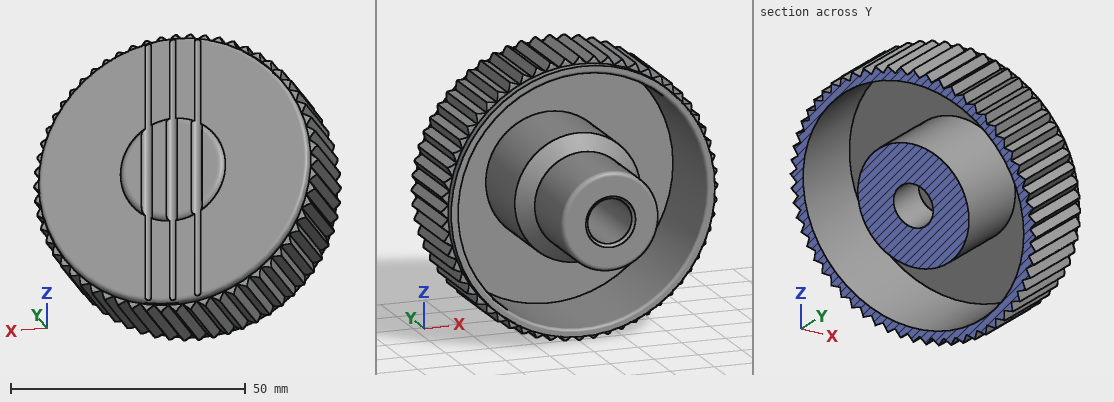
import cadquery as cq
import math


overall_length = 40.99
cap_height = 1.0
body_length = 23.0
teeth_length = 19.0
teeth_setback = 2.0
back_face = overall_length - cap_height
rim_face = back_face - body_length
teeth_end = back_face - teeth_setback
teeth_start = teeth_end - teeth_length
wall = 1.8
cavity_floor = back_face - wall

body_radius = 59.92 / 2
cavity_radius = 56.4 / 2
back_fillet = 1.0
rim_fillet = 0.7
rim_crest_radius = cavity_radius + rim_fillet

hub_radius = 22.0 / 2
hub_base_radius = 28.6 / 2
hub_fillet = 1.0
hub_cone_start = rim_face
hub_cone_end = hub_cone_start + hub_base_radius - hub_radius
bore_radius = 10.0 / 2
bore_depth = 30.0
bore_chamfer = 0.65

tooth_count = 60
tip_radius = 63.0 / 2
tooth_end_fillet = 0.8

cap_flat_radius = 10.2
cap_edge_radius = 1.5
groove_radius = 1.2
groove_offsets = (-5.5, 0.0, 5.5)

COS45 = math.cos(math.pi / 4)


def revolve_profile(profile):
    """Turn a closed profile in the XY plane around the Y axis."""
    return profile.close().revolve(360, (0, 0, 0), (0, 1, 0))


def round_corner(profile, center, radius, start_deg, end_deg):
    """Add a circular arc to the profile, from its current point at start_deg round to end_deg."""
    def on_arc(degrees):
        angle = math.radians(degrees)
        return (center[0] + radius * math.cos(angle), center[1] + radius * math.sin(angle))

    return profile.threePointArc(on_arc((start_deg + end_deg) / 2), on_arc(end_deg))


def make_body():
    """Hub, cup-shaped body and blind bore as one turned shape."""
    profile = (
        cq.Workplane("XY")
        .moveTo(0, bore_depth)
        .lineTo(bore_radius, bore_depth)
        .lineTo(bore_radius, bore_chamfer)
        .lineTo(bore_radius + bore_chamfer, 0)
        .lineTo(hub_radius - hub_fillet, 0)
    )
    profile = round_corner(profile, (hub_radius - hub_fillet, hub_fillet), hub_fillet, -90, 0)
    profile = (
        profile.lineTo(hub_radius, hub_cone_start)
        .lineTo(hub_base_radius, hub_cone_end)
        .lineTo(hub_base_radius, cavity_floor)
        .lineTo(cavity_radius, cavity_floor)
        .lineTo(cavity_radius, rim_face + rim_fillet)
    )
    profile = round_corner(profile, (rim_crest_radius, rim_face + rim_fillet), rim_fillet, 180, 270)
    profile = (
        profile.lineTo(body_radius, rim_face)
        .lineTo(body_radius, back_face - back_fillet)
    )
    back_center = (body_radius - back_fillet, back_face - back_fillet)
    profile = round_corner(profile, back_center, back_fillet, 0, 90)
    return revolve_profile(profile.lineTo(0, back_face))


def make_cap():
    """Low disc on the back face with a rounded edge tangent to its flat top."""
    center_depth = cap_edge_radius - cap_height
    center = (cap_flat_radius, back_face - center_depth)
    base_deg = math.degrees(math.asin(center_depth / cap_edge_radius))
    base_radius = cap_flat_radius + cap_edge_radius * math.cos(math.radians(base_deg))
    profile = (
        cq.Workplane("XY")
        .moveTo(0, cavity_floor)
        .lineTo(base_radius, cavity_floor)
        .lineTo(base_radius, back_face)
    )
    profile = round_corner(profile, center, cap_edge_radius, base_deg, 90)
    return revolve_profile(profile.lineTo(0, overall_length))


def make_teeth():
    """Ring of right-angled V teeth with rounded ends."""
    half_pitch = math.pi / tooth_count
    root_radius = tip_radius * COS45 / math.cos(math.pi / 4 - half_pitch)
    outline = []
    for index in range(2 * tooth_count):
        radius = tip_radius if index % 2 == 0 else root_radius
        angle = index * half_pitch
        outline.append((radius * math.cos(angle), radius * math.sin(angle)))
    prism = (
        cq.Workplane("XZ", origin=(0, teeth_start, 0))
        .polyline(outline)
        .close()
        .circle((cavity_radius + body_radius) / 2)
        .extrude(-teeth_length)
    )
    corner_radius = tip_radius - tooth_end_fillet
    first_corner = (corner_radius, teeth_start + tooth_end_fillet)
    last_corner = (corner_radius, teeth_end - tooth_end_fillet)
    envelope = cq.Workplane("XY").moveTo(0, teeth_start).lineTo(corner_radius, teeth_start)
    envelope = round_corner(envelope, first_corner, tooth_end_fillet, -90, 0)
    envelope = envelope.lineTo(tip_radius, teeth_end - tooth_end_fillet)
    envelope = round_corner(envelope, last_corner, tooth_end_fillet, 0, 90)
    envelope = revolve_profile(envelope.lineTo(0, teeth_end))
    return prism.intersect(envelope)


def make_grooves():
    """Round-bottomed grooves across the back, centred on the plane of the cap top."""
    return (
        cq.Workplane("XY", origin=(0, overall_length, 0))
        .pushPoints([(x, 0) for x in groove_offsets])
        .circle(groove_radius)
        .extrude(tip_radius, both=True)
    )


result = make_body().union(make_cap()).union(make_teeth()).cut(make_grooves())